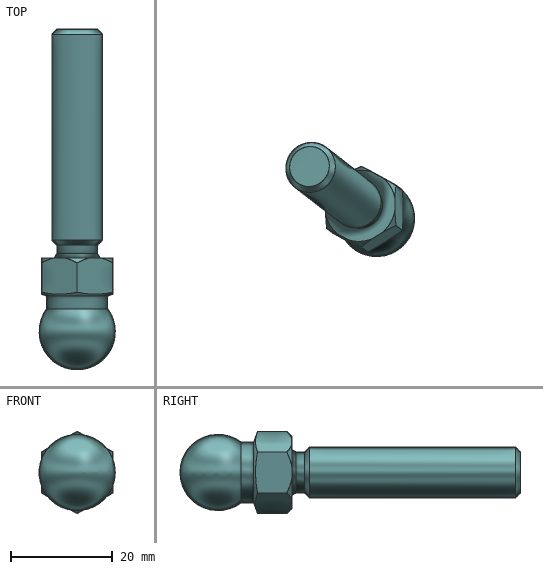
import cadquery as cq
import math


ball_radius = 7.5
neck_radius = 6.0
neck_start = math.sqrt(ball_radius**2 - neck_radius**2)
neck_length = 2.5

hex_sides = 6
hex_across_flats = 14.0
hex_length = 7.5
hex_across_corners = hex_across_flats / math.cos(math.pi / hex_sides)
hex_front = neck_start + neck_length
hex_back = hex_front + hex_length
front_cone_angle = 20.0
back_cone_angle = 45.0
back_face_radius = 7.1

total_length = 67.0
shank_radius = 5.0
undercut_radius = 4.0
undercut_flare = 0.5
undercut_flare_angle = 30.0
undercut_flare_length = undercut_flare / math.tan(math.radians(undercut_flare_angle))
undercut_length = 2.5
undercut_chamfer = shank_radius - undercut_radius
end_chamfer = 1.0
shank_end = total_length - ball_radius
undercut_end = hex_back + undercut_length


def revolve_about_y(profile):
    return profile.close().revolve(360, (0, 0, 0), (0, 1, 0))


def make_ball_and_neck():
    return revolve_about_y(
        cq.Workplane("XY")
        .moveTo(0, -ball_radius)
        .threePointArc((ball_radius, 0), (neck_radius, neck_start))
        .lineTo(neck_radius, hex_front)
        .lineTo(0, hex_front)
    )


def make_hexagon():
    prism = (
        cq.Workplane("XZ", origin=(0, hex_back, 0))
        .transformed(rotate=(0, 0, 90))
        .polygon(hex_sides, hex_across_corners)
        .extrude(hex_length)
    )
    corner_radius = hex_across_corners / 2
    front_rise = (corner_radius - neck_radius) * math.tan(math.radians(front_cone_angle))
    back_rise = (corner_radius - back_face_radius) * math.tan(math.radians(back_cone_angle))
    envelope = revolve_about_y(
        cq.Workplane("XY")
        .moveTo(0, hex_front)
        .lineTo(neck_radius, hex_front)
        .lineTo(corner_radius, hex_front + front_rise)
        .lineTo(corner_radius, hex_back - back_rise)
        .lineTo(back_face_radius, hex_back)
        .lineTo(0, hex_back)
    )
    return prism.intersect(envelope)


def make_shank():
    return revolve_about_y(
        cq.Workplane("XY")
        .moveTo(0, hex_back)
        .lineTo(undercut_radius + undercut_flare, hex_back)
        .lineTo(undercut_radius, hex_back + undercut_flare_length)
        .lineTo(undercut_radius, undercut_end)
        .lineTo(shank_radius, undercut_end + undercut_chamfer)
        .lineTo(shank_radius, shank_end - end_chamfer)
        .lineTo(shank_radius - end_chamfer, shank_end)
        .lineTo(0, shank_end)
    )


result = make_ball_and_neck().union(make_hexagon()).union(make_shank())